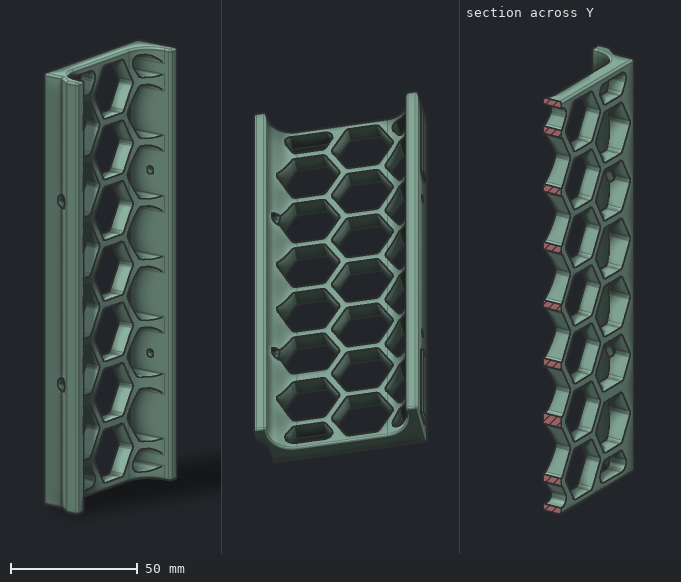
import cadquery as cq
import math

length = 177.0
depth = 20.0
body_width = 62.0
step_drop = 4.0
step_start_x = 9.2
step_end_x = 14.5
edge_radius = 1.0

plate_thickness = 6.9
flange_thickness = 5.0
channel_width = 56.1
channel_radius = 10.0

window_margin = 3.0
web = 3.0
hexes_per_column = 7
column_count = 3
cell_corner_radius = 2.0
end_corner_radius = 3.2
short_row = 2
short_row_rise = 1.6

screw_diameter = 3.2
access_diameter = 5.5
screw_spacing = 75.0

lug_width = 6.5
lug_height = 1.0
lug_length = 35.2
lug_end_gap = 3.5
lug_chamfer = 0.7

half_length = length / 2
mid_x = depth / 2
channel_top_y = body_width - flange_thickness
channel_bottom_y = channel_top_y - channel_width

window_length = length - 2 * window_margin
cell_pitch = (window_length + web) / hexes_per_column
cell_diameter = (cell_pitch - web) / math.cos(math.pi / 6)
column_spacing = cell_pitch * math.cos(math.pi / 6)
first_column_y = window_margin + cell_diameter / 2


def make_rail():
    """C-shaped rail with its corners and end faces rounded."""
    arc_start_x = plate_thickness + channel_radius
    rail = (
        cq.Workplane("XY", origin=(0, 0, -half_length))
        .moveTo(0, 0)
        .lineTo(step_start_x, 0)
        .lineTo(step_end_x, -step_drop)
        .lineTo(depth, -step_drop)
        .lineTo(depth, channel_bottom_y)
        .lineTo(arc_start_x, channel_bottom_y)
        .radiusArc((plate_thickness, channel_bottom_y + channel_radius), channel_radius)
        .lineTo(plate_thickness, channel_top_y - channel_radius)
        .radiusArc((arc_start_x, channel_top_y), channel_radius)
        .lineTo(depth, channel_top_y)
        .lineTo(depth, body_width)
        .lineTo(0, body_width)
        .close()
        .extrude(length)
    )
    corners = [
        (0, 0),
        (step_start_x, 0),
        (step_end_x, -step_drop),
        (depth, -step_drop),
        (depth, channel_bottom_y),
        (depth, channel_top_y),
        (depth, body_width),
        (0, body_width),
    ]
    for x, y in corners:
        rail = rail.edges(cq.NearestToPointSelector((x, y, 0))).fillet(edge_radius)
    return rail.faces("<Z or >Z").fillet(edge_radius)


def make_window_block(bottom_z):
    """Block from bottom_z up to the end margin that limits how far a cell may reach."""
    top_z = window_length / 2
    block = cq.Workplane("XY", origin=(0, window_margin, bottom_z))
    return block.box(depth, channel_top_y - window_margin, top_z - bottom_z, centered=False)


def make_cell(y, z, bottom_z):
    """Hexagonal prism along X with flats facing Z, clipped to the window block."""
    cell = cq.Workplane("YZ", origin=(0, y, z)).polygon(6, cell_diameter).extrude(depth)
    return cell.intersect(make_window_block(bottom_z))


def round_cell(cell):
    return cell.edges("|X").fillet(cell_corner_radius)


def round_end_cell(cell, end_side, inner_side):
    """Round a cell cut by the end margin, with larger corners along that cut."""
    cell = cell.faces(end_side).edges("|X").fillet(end_corner_radius)
    return cell.faces(inner_side).edges("|X").fillet(cell_corner_radius)


def make_full_column(y):
    """Column of whole hexagons that ends flush with both end margins."""
    middle = (hexes_per_column - 1) / 2
    rows = range(hexes_per_column)
    return [round_cell(make_cell(y, (row - middle) * cell_pitch, -window_length / 2)) for row in rows]


def make_offset_column(y):
    """Column shifted by half a pitch, with a partial cell at each end."""
    last_row = hexes_per_column
    cells = []
    for row in range(last_row + 1):
        z = (row - last_row / 2) * cell_pitch
        bottom_z = -window_length / 2
        if row == short_row:
            bottom_z = z - (cell_pitch - web) / 2 + short_row_rise
        cell = make_cell(y, z, bottom_z)
        if row == 0:
            cell = round_end_cell(cell, "<Z", ">Z")
        elif row == last_row:
            cell = round_end_cell(cell, ">Z", "<Z")
        else:
            cell = round_cell(cell)
        cells.append(cell)
    return cells


def make_windows():
    """Every honeycomb cutter, column by column from -Y to +Y."""
    cells = []
    for column in range(column_count):
        y = first_column_y + column * column_spacing
        if column % 2 == 0:
            cells += make_offset_column(y)
        else:
            cells += make_full_column(y)
    return cells


def make_screw_cutter(z):
    """Screw hole in the +Y flange and the access hole that leads to it from -Y."""
    far_y = body_width + lug_height
    screw = cq.Workplane("XZ", origin=(mid_x, far_y, z)).circle(screw_diameter / 2)
    screw = screw.extrude(far_y + step_drop)
    access = cq.Workplane("XZ", origin=(mid_x, channel_top_y, z)).circle(access_diameter / 2)
    return screw.union(access.extrude(channel_top_y + step_drop))


def make_lug():
    """Low pad near the +Z end of the +Y face, bevelled except at its inner end."""
    center_y = body_width + lug_height / 2
    center_z = half_length - lug_end_gap - lug_length / 2
    pad = cq.Workplane("XY", origin=(mid_x, center_y, center_z)).box(lug_width, lug_height, lug_length)
    return pad.faces(">Y").edges("|Z or >Z").chamfer(lug_chamfer)


lug = make_lug()
result = make_rail().union(lug).union(lug.mirror("XY"))
for window in make_windows():
    result = result.cut(window)
for side in (-1, 1):
    result = result.cut(make_screw_cutter(side * screw_spacing / 2))